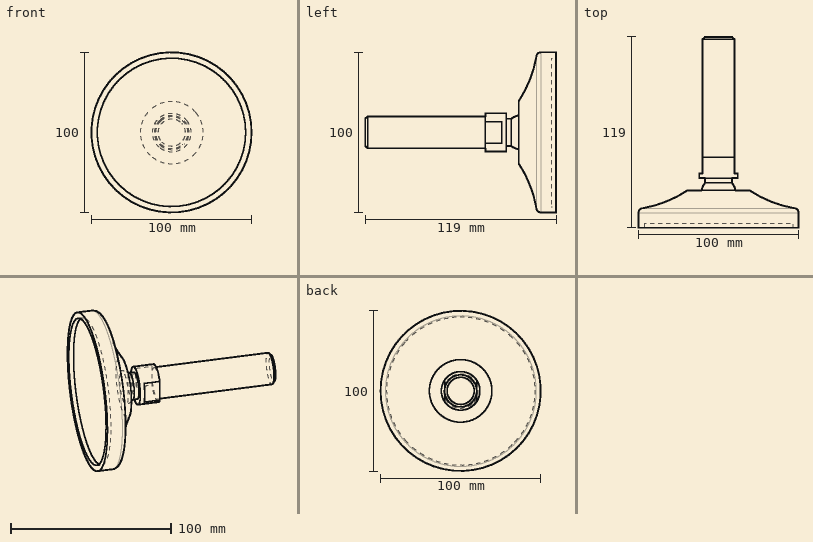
import cadquery as cq
import math

base_diameter = 100.0
recess_diameter = 92.5
recess_depth = 3.0
rim_height = 12.4
rim_fillet = 3.0
hub_top_diameter = 39.0
hub_top_height = 23.3
slope_outer_radius = base_diameter / 2 - rim_fillet
slope_mid_radius = 33.3
slope_mid_height = 16.2

ball_radius = 11.0
neck_diameter = 17.0
neck_bottom = 28.0

collar_diameter = 24.0
collar_bottom = 30.9
collar_top = 44.0
flats_bottom = 33.9
flats_width = 20.0

stem_diameter = 20.0
stem_top = 119.0
stem_chamfer = 1.5


def make_body():
    """Revolve the base, ball, neck, collar and stem as one profile."""
    base_radius = base_diameter / 2
    neck_radius = neck_diameter / 2
    collar_radius = collar_diameter / 2
    stem_radius = stem_diameter / 2

    ball_center = neck_bottom - math.sqrt(ball_radius**2 - neck_radius**2)
    ball_foot_radius = math.sqrt(ball_radius**2 - (hub_top_height - ball_center) ** 2)
    ball_mid_height = (hub_top_height + neck_bottom) / 2
    ball_mid_radius = math.sqrt(ball_radius**2 - (ball_mid_height - ball_center) ** 2)

    fillet_start = rim_height - rim_fillet
    fillet_diagonal = rim_fillet * math.sqrt(0.5)
    fillet_mid = (slope_outer_radius + fillet_diagonal, fillet_start + fillet_diagonal)

    profile = (
        cq.Workplane("XY")
        .lineTo(base_radius, 0)
        .lineTo(base_radius, fillet_start)
        .threePointArc(fillet_mid, (slope_outer_radius, rim_height))
        .threePointArc((slope_mid_radius, slope_mid_height), (hub_top_diameter / 2, hub_top_height))
        .lineTo(ball_foot_radius, hub_top_height)
        .threePointArc((ball_mid_radius, ball_mid_height), (neck_radius, neck_bottom))
        .lineTo(neck_radius, collar_bottom)
        .lineTo(collar_radius, collar_bottom)
        .lineTo(collar_radius, collar_top)
        .lineTo(stem_radius, collar_top)
        .lineTo(stem_radius, stem_top - stem_chamfer)
        .lineTo(stem_radius - stem_chamfer, stem_top)
        .lineTo(0, stem_top)
        .close()
    )
    return profile.revolve(360, (0, 0, 0), (0, 1, 0))


def make_recess():
    """Shallow round pocket in the underside."""
    return cq.Workplane("XZ").circle(recess_diameter / 2).extrude(-recess_depth)


def make_flat_cutter(side):
    """Block that cuts the wrench flat on the +X (side = 1) or -X (side = -1) side."""
    flats_length = collar_top - flats_bottom
    block_center = side * (flats_width + collar_diameter) / 2
    return (
        cq.Workplane("XY")
        .box(collar_diameter, flats_length, collar_diameter)
        .translate((block_center, flats_bottom + flats_length / 2, 0))
    )


result = make_body().cut(make_recess())
for side in (-1, 1):
    result = result.cut(make_flat_cutter(side))